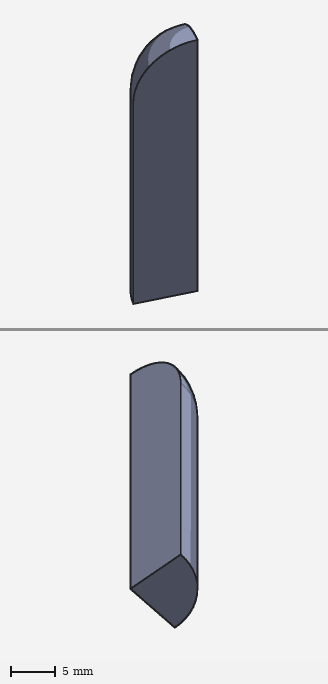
import cadquery as cq

length = 38.1
radius = 7.6
quarter_turn = 90
shoulder_height = length - radius

nose_mid = radius * 0.5 ** 0.5
profile = (
    cq.Workplane("XZ")
    .lineTo(-radius, 0)
    .lineTo(-radius, shoulder_height)
    .threePointArc((-nose_mid, shoulder_height + nose_mid), (0, length))
    .close()
)

result = profile.revolve(quarter_turn, (0, 0), (0, 1))